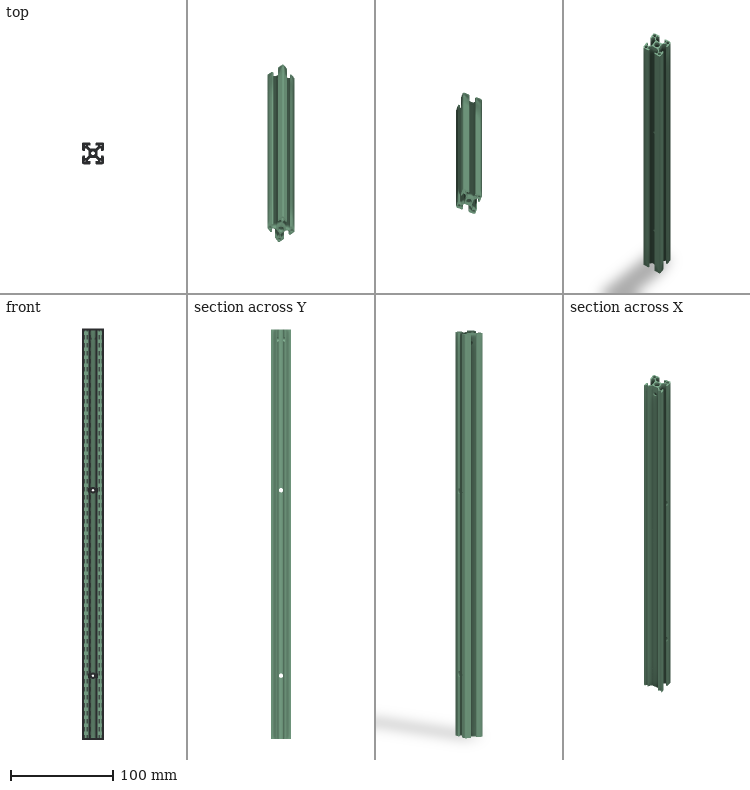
import cadquery as cq
import math

side = 20.0
length = 400.0
corner_radius = 1.48

slot_opening = 6.2
lip_thickness = 1.6
lip_chamfer = 0.65
core_width = 7.7
corner_block_width = 4.5
web_thickness = 1.0

core_bore_diameter = 5.5
corner_bore_diameter = 3.0
corner_bore_offset = 7.6

cross_hole_diameter = 4.2
access_hole_diameter = 8.4
front_hole_heights = (62.0, 243.0)
side_hole_distance_from_top = 10.0

half_side = side / 2
half_core = core_width / 2


def make_slot():
    """T-shaped void of the +X side, bounded by the lips, corner blocks, diagonal webs and core."""
    half_opening = slot_opening / 2
    lip_inner = half_side - lip_thickness
    block_inner = half_side - corner_block_width
    web_offset = web_thickness / math.sqrt(2)
    upper_half = [
        (half_core, half_core - web_offset),
        (block_inner + web_offset, block_inner),
        (lip_inner, block_inner),
        (lip_inner, half_opening),
        (half_side - lip_chamfer, half_opening),
        (half_side, half_opening + lip_chamfer),
    ]
    lower_half = [(x, -y) for x, y in reversed(upper_half)]
    return cq.Workplane("XY").polyline(upper_half + lower_half).close().extrude(length)


def make_extrusion():
    """Rounded square bar with four T-slots, a core bore and four corner bores."""
    bar = cq.Workplane("XY").rect(side, side).extrude(length).edges("|Z").fillet(corner_radius)
    slot = make_slot()
    for quarter in range(4):
        bar = bar.cut(slot.rotate((0, 0, 0), (0, 0, 1), 90 * quarter))
    core_bore = cq.Workplane("XY").circle(core_bore_diameter / 2).extrude(length)
    corner_bores = (
        cq.Workplane("XY")
        .rect(2 * corner_bore_offset, 2 * corner_bore_offset, forConstruction=True)
        .vertices()
        .circle(corner_bore_diameter / 2)
        .extrude(length)
    )
    return bar.cut(core_bore).cut(corner_bores)


def make_cross_hole(plane, height):
    """Hole straight through the extrusion, normal to the given plane."""
    return cq.Workplane(plane).center(0, height).circle(cross_hole_diameter / 2).extrude(half_side, both=True)


def make_access_hole(height):
    """Wider hole through the -Y lips, ending at the face of the core."""
    return (
        cq.Workplane("XZ", origin=(0, -half_core, height))
        .circle(access_hole_diameter / 2)
        .extrude(half_side - half_core)
    )


result = make_extrusion()
for hole_height in front_hole_heights:
    result = result.cut(make_cross_hole("XZ", hole_height))
    result = result.cut(make_access_hole(hole_height))
result = result.cut(make_cross_hole("YZ", length - side_hole_distance_from_top))